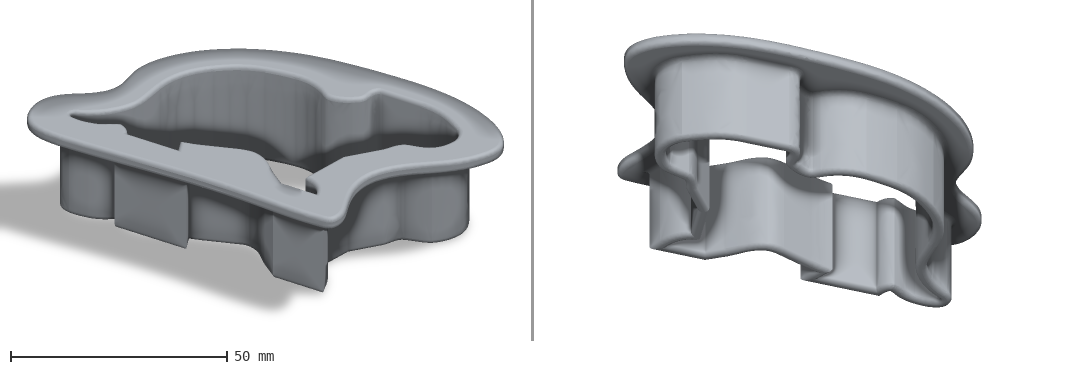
import cadquery as cq
import math

total_height = 25.0
flange_thickness = 3.2
flange_bottom = total_height - flange_thickness

wall_thickness = 2.5
edge_radius = 1.0

sole_y = -22.5
hind_heel_x = -25.7
front_toe_x = 25.7
head_y = 24.4

hind_toe_slope = 66
groin_slope = 37
ankle_x = -13.5
ankle_y = -18.9
groin_x = 12.9
groin_y = -19.8
hind_toe_x = ankle_x + (ankle_y - sole_y) / math.tan(math.radians(hind_toe_slope))
front_heel_x = groin_x + (groin_y - sole_y) / math.tan(math.radians(groin_slope))

hind_heel = [
    (hind_heel_x, sole_y, 112),
    (-29.1, -19.5, 166),
]
rump_to_throat = [
    (-29.1, -19.5, 205),
    (-32.0, -21.2, 215),
    (-35.2, -22.5, 192),
    (-39.3, -22.9, 172),
    (-41.2, -21.8, 95),
    (-40.5, -20.9, 27),
    (-34.4, -16.3, 49),
    (-30.7, -10.0, 75),
    (-30.3, -0.5, 88),
    (-24.1, 12.8, 43.5),
    (-13.8, 18.6, 13),
    (-6.1, 19.8, 4),
    (2.4, 17.3, -36),
    (4.3, 16.1, -27),
    (10.7, 17.6, 38),
    (12.9, 20.9, 88),
    (14.6, head_y, 0),
    (25.0, head_y, 0),
    (37.6, 19.8, -33),
    (40.0, 13.9, -104),
    (37.2, 9.3, -143),
    (31.8, 7.4, -160),
    (27.7, 2.1, -128),
    (22.1, -5.1, -128),
]
front_shin = [
    (22.1, -5.1, -101),
    (19.7, -17.5, -101),
]
front_toe = [
    (19.7, -17.5, -10),
    (front_toe_x, sole_y, -70),
]
front_sole = [
    (front_toe_x, sole_y, 180),
    (front_heel_x, sole_y, 180),
]
belly = [
    (front_heel_x, sole_y, 180 - groin_slope),
    (groin_x, groin_y, 180 - groin_slope),
    (4.4, -14.0, 168),
    (0.1, -14.5, 200),
    (-7.8, -17.3, 200),
    (ankle_x, ankle_y, 190),
]
hind_toe = [
    (ankle_x, ankle_y, -hind_toe_slope),
    (hind_toe_x, sole_y, -hind_toe_slope),
]
hind_sole = [
    (hind_toe_x, sole_y, 180),
    (hind_heel_x, sole_y, 180),
]
bear_runs = [hind_heel, rump_to_throat, front_shin, front_toe, front_sole, belly, hind_toe, hind_sole]


def point(station):
    return cq.Vector(station[0], station[1])


def direction(heading):
    angle = math.radians(heading)
    return cq.Vector(math.cos(angle), math.sin(angle))


def outward(station):
    """Station moved off the bear by the wall thickness."""
    moved = point(station) + direction(station[2] + 90) * wall_thickness
    return (moved.x, moved.y, station[2])


def curve(start, end):
    """Edge between two stations, straight where the heading stays the same."""
    if start[2] == end[2]:
        return cq.Edge.makeLine(point(start), point(end))
    return cq.Edge.makeSpline([point(start), point(end)], tangents=[direction(start[2]), direction(end[2])])


def curves(run):
    return [curve(start, end) for start, end in zip(run, run[1:])]


def prism(edges, height):
    return cq.Workplane(cq.Solid.extrudeLinear(cq.Wire.assembleEdges(edges), [], cq.Vector(0, 0, height)))


def bear(height):
    return prism([edge for run in bear_runs for edge in curves(run)], height)


def wall_band(run):
    """Stretch of wall that follows one run of the bear."""
    outer_run = [outward(station) for station in run]
    start_cap = cq.Edge.makeLine(point(outer_run[0]), point(run[0]))
    end_cap = cq.Edge.makeLine(point(run[-1]), point(outer_run[-1]))
    return prism([start_cap, *curves(run), end_cap, *reversed(curves(outer_run))], flange_bottom)


def mitre(arrival, departure, turn):
    """Kite that brings the wall to a sharp edge around a corner of the bear."""
    arrival_side = point(outward(arrival))
    departure_side = point(outward(departure))
    reach = wall_thickness * math.tan(math.radians(turn) / 2)
    tip = arrival_side + direction(arrival[2]) * reach
    kite = cq.Wire.makePolygon([point(arrival), arrival_side, tip, departure_side], close=True)
    return prism(kite.Edges(), flange_bottom)


def wall():
    """Cutting wall with its outer bottom edge rounded; the bear is still solid."""
    body = bear(flange_bottom)
    for run, next_run in zip(bear_runs, bear_runs[1:] + bear_runs[:1]):
        body = body.union(wall_band(run))
        turn = (run[-1][2] - next_run[0][2]) % 360
        if turn < 180:
            body = body.union(mitre(run[-1], next_run[0], turn))
    return body.faces("<Z").edges().fillet(edge_radius)


def flange():
    """Smooth plate around the bear, rounded along both rims."""
    rim = [
        (13.0, 32.2),
        (28.1, 31.7),
        (42.4, 27.2),
        (48.6, 22.6),
        (51.0, 17.9),
        (49.6, 12.0),
        (45.4, 6.1),
        (37.8, -0.6),
        (32.4, -8.2),
        (31.8, -14.8),
        (34.5, -23.1),
        (35.8, -27.5),
        (35.0, -30.6),
        (31.6, -31.5),
        (24.5, -31.6),
        (15.3, -31.1),
        (4.1, -30.7),
        (-13.3, -31.1),
        (-36.7, -32.2),
        (-41.8, -32.0),
        (-48.0, -29.7),
        (-50.8, -24.6),
        (-50.5, -19.4),
        (-48.9, -16.4),
        (-41.8, -10.5),
        (-39.1, -6.1),
        (-39.3, 2.0),
        (-36.5, 11.4),
        (-23.5, 24.1),
        (-6.8, 30.3),
    ]
    plate = cq.Workplane("XY").workplane(offset=flange_bottom).spline(rim, periodic=True).close()
    return plate.extrude(flange_thickness).faces("<Z or >Z").edges().fillet(edge_radius)


def join_edges(body):
    """Edges where the wall meets the underside of the flange."""
    underside = body.faces("|Z").faces(">Z[-2]")
    return underside.val().innerWires()[0].Edges()


def round_hole_edge(body, side):
    """Round the edge of the bear-shaped hole on the top or bottom face."""
    hole_edge = body.faces(side).val().innerWires()[0].Edges()
    return body.newObject(hole_edge).fillet(edge_radius)


body = flange().union(wall())
body = body.newObject(join_edges(body)).fillet(edge_radius)
body = body.cut(bear(total_height))
body = round_hole_edge(body, ">Z")
result = round_hole_edge(body, "<Z")